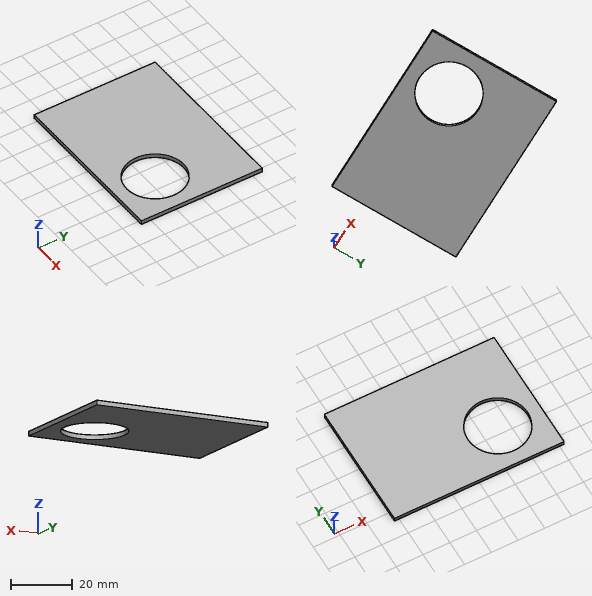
import cadquery as cq

length = 63.5
width = 47.5
thickness = 1.6

hole_diameter = 22.35
hole_from_right_edge = 16.0
hole_from_front_edge = 16.0

hole_x = length / 2 - hole_from_right_edge
hole_y = -width / 2 + hole_from_front_edge

plate = cq.Workplane("XY").box(length, width, thickness)

result = (
    plate.faces(">Z")
    .workplane(origin=(0, 0, 0))
    .center(hole_x, hole_y)
    .hole(hole_diameter)
)